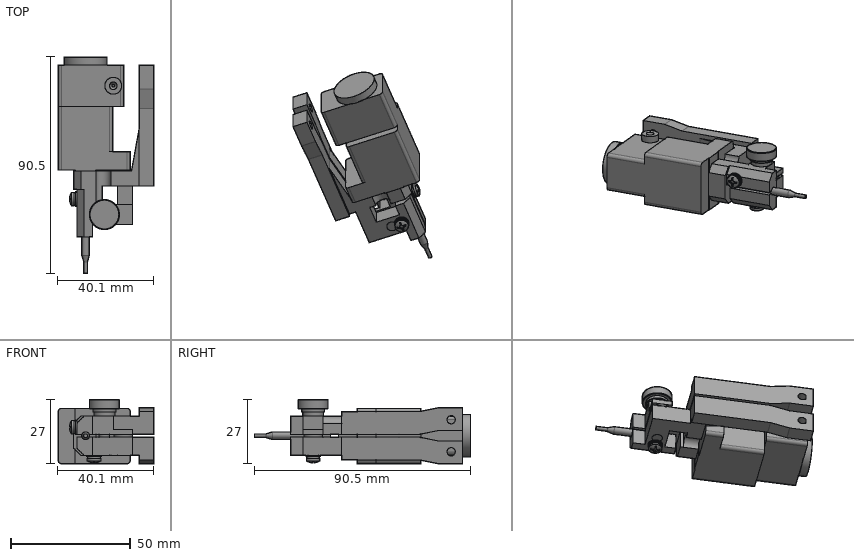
import cadquery as cq

HOUSING_LEFT = -11.5
HOUSING_FRONT = 43.2
HOUSING_BOTTOM = -11.8
HOUSING_TOP = 11.5
HOUSING_FILLET = 1.45
FOOT_RIGHT = 18.7
FOOT_REAR = 50.9
BODY_RIGHT = 11.4
BODY_REAR = 69.7
REAR_RIGHT = 16.0
REAR_END = 87.2
REAR_HALF_HEIGHT = 8.2
PLUG_DIAMETER = 17.9
PLUG_END = 90.55

SPLIT_GAP = 1.1
CLAMP_REAR = 42.9
CLAMP_HALF_HEIGHT = 8.2
CLAMP_CHAMFER = 3.0
BLOCK_LEFT = -5.0
BLOCK_RIGHT = 4.35
BLOCK_FRONT = 35.1
JAW_LEFT = -3.6
JAW_RIGHT = 3.0
JAW_FRONT = 15.2
LOWER_JAW_REAR = 33.5
CROSSBAR_FRONT = 36.5
TROUGH_X = 7.4
TROUGH_RADIUS = 3.2
UPPER_WEB_RIGHT = 7.1
TAB_FRONT = 20.4
TAB_REAR = 28.8
TAB_RIGHT = 19.65
TAB_LEDGE_X = 11.8
TAB_LEDGE_TOP = 2.7
LINK_LEFT = 13.3
SPACER_DIAMETER = 7.7

ARM_LEFT = 22.4
ARM_RIGHT = 28.6
ARM_REAR_HALF_HEIGHT = 11.8
ARM_FRONT_HALF_HEIGHT = 10.1
ARM_TAPER_REAR = 77.1
ARM_TAPER_FRONT = 68.9
GUSSET_LEFT = 19.2
GUSSET_REAR = 60.5
ARM_HOLE_DIAMETER = 3.4
ARM_HOLE_Y = 82.4
ARM_HOLE_OFFSET = 6.7

PIN_DIAMETER = 3.3
PIN_TIP_DIAMETER = 1.6
PIN_CONE_FRONT = 4.8
PIN_CONE_REAR = 7.5
PIN_REAR = 31.9

KNOB_X = 7.9
KNOB_DIAMETER = 12.6
KNOB_TOP = 15.2
KNOB_BOTTOM = 11.2
KNOB_EDGE = 0.3
COLLAR_DIAMETER = 9.7
COLLAR_BOTTOM = 10.0
STEM_DIAMETER = 8.8
SHAFT_DIAMETER = 4.35

FLANGE_DIAMETER = 6.2
FLANGE_TOP = 0.5
NECK_DIAMETER = 5.3
NECK_TOP = 1.3
HEAD_DIAMETER = 5.7
HEAD_EDGE = 2.3
HEAD_TOP = 3.2
CROSS_LENGTH = 3.8
CROSS_WIDTH = 0.5
CROSS_CENTRE_SIDE = 1.6
CROSS_DEPTH = 0.9
SIDE_SCREW_Y = 31.1
SIDE_SCREW_Z = 3.5
LOWER_SCREW_X = 3.5

SOCKET_HEAD_X = 11.6
SOCKET_HEAD_Y = 78.5
SOCKET_HEAD_DIAMETER = 7.1
SOCKET_HEAD_HEIGHT = 2.8
SOCKET_DIAMETER = 3.2
SOCKET_FLOOR_DIAMETER = 1.1
SOCKET_DEPTH = 2.3

HALF_GAP = SPLIT_GAP / 2
TAB_MIDDLE = (TAB_FRONT + TAB_REAR) / 2


def box(x_range, y_range, z_range):
    """Box between the given limits along each axis."""
    (x0, x1), (y0, y1), (z0, z1) = x_range, y_range, z_range
    return cq.Workplane("XY").box(x1 - x0, y1 - y0, z1 - z0, centered=False).translate((x0, y0, z0))


def cylinder_y(x, z, diameter, y_start, y_end):
    """Cylinder along Y."""
    return (
        cq.Workplane("XZ", origin=(x, y_start, z)).circle(diameter / 2).extrude(y_start - y_end)
    )


def cylinder_z(x, y, diameter, z_start, z_end):
    """Cylinder along Z."""
    return cq.Workplane("XY", origin=(x, y, z_start)).circle(diameter / 2).extrude(z_end - z_start)


def make_housing():
    """Stepped housing with rounded long edges, a round rear plug and a pad on its front face."""
    height = (HOUSING_BOTTOM, HOUSING_TOP)
    foot = box((HOUSING_LEFT, FOOT_RIGHT), (HOUSING_FRONT, FOOT_REAR), height)
    body = box((HOUSING_LEFT, BODY_RIGHT), (HOUSING_FRONT, BODY_REAR), height)
    rear = box(
        (HOUSING_LEFT, REAR_RIGHT),
        (BODY_REAR, REAR_END),
        (-REAR_HALF_HEIGHT, REAR_HALF_HEIGHT),
    )
    rear = rear.edges("|Y").fillet(HOUSING_FILLET)
    front = foot.union(body).edges("|Y").edges("<Z or >Z").fillet(HOUSING_FILLET)
    pad = box((-BLOCK_RIGHT, BLOCK_RIGHT), (CLAMP_REAR, HOUSING_FRONT), height)
    plug = cylinder_y(0, 0, PLUG_DIAMETER, REAR_END, PLUG_END)
    return front.union(rear).union(pad).union(plug)


def make_arm_bar():
    """Upper arm: a bar that steps up and away from the split towards its rear, with a cross hole."""
    step = ARM_REAR_HALF_HEIGHT - ARM_FRONT_HALF_HEIGHT
    side_outline = [
        (CROSSBAR_FRONT, HALF_GAP),
        (ARM_TAPER_FRONT, HALF_GAP),
        (ARM_TAPER_REAR, HALF_GAP + step),
        (REAR_END, HALF_GAP + step),
        (REAR_END, ARM_REAR_HALF_HEIGHT),
        (ARM_TAPER_REAR, ARM_REAR_HALF_HEIGHT),
        (ARM_TAPER_FRONT, ARM_FRONT_HALF_HEIGHT),
        (CROSSBAR_FRONT, ARM_FRONT_HALF_HEIGHT),
    ]
    side_plane = cq.Workplane("YZ", origin=(ARM_LEFT, 0, 0))
    width = ARM_RIGHT - ARM_LEFT
    bar = side_plane.polyline(side_outline).close().extrude(width)
    hole = side_plane.center(ARM_HOLE_Y, ARM_HOLE_OFFSET).circle(ARM_HOLE_DIAMETER / 2).extrude(width)
    return bar.cut(hole)


def make_arms():
    """Two mirrored arms on a split crossbar that carries their gussets."""
    upper_bar = make_arm_bar()
    lower_bar = upper_bar.mirror("XY")
    base_outline = [
        (BLOCK_RIGHT, CROSSBAR_FRONT),
        (ARM_LEFT, CROSSBAR_FRONT),
        (ARM_LEFT, GUSSET_REAR),
        (GUSSET_LEFT, CLAMP_REAR),
        (BLOCK_RIGHT, CLAMP_REAR),
    ]
    base = (
        cq.Workplane("XY", origin=(0, 0, -CLAMP_HALF_HEIGHT))
        .polyline(base_outline)
        .close()
        .extrude(2 * CLAMP_HALF_HEIGHT)
    )
    split = box((BLOCK_RIGHT, ARM_LEFT), (CROSSBAR_FRONT, GUSSET_REAR), (-HALF_GAP, HALF_GAP))
    return base.cut(split).union(upper_bar).union(lower_bar)


def make_jaws():
    """Upper and lower jaw, each with a cross tab, joined by a round spacer between the tabs."""
    upper_z = (HALF_GAP, CLAMP_HALF_HEIGHT)
    lower_z = (-CLAMP_HALF_HEIGHT, -HALF_GAP)
    tab_y = (TAB_FRONT, TAB_REAR)

    upper = box((JAW_LEFT, JAW_RIGHT), (JAW_FRONT, BLOCK_FRONT), upper_z)
    upper = upper.edges("|Y and <X and >Z").chamfer(CLAMP_CHAMFER)
    upper = upper.union(box((JAW_RIGHT, TAB_LEDGE_X), tab_y, upper_z))
    upper = upper.union(box((TAB_LEDGE_X, TAB_RIGHT), tab_y, (HALF_GAP, TAB_LEDGE_TOP)))
    upper = upper.union(box((JAW_RIGHT, UPPER_WEB_RIGHT), (TAB_REAR, CROSSBAR_FRONT), upper_z))

    lower = box((JAW_LEFT, JAW_RIGHT), (JAW_FRONT, LOWER_JAW_REAR), lower_z)
    lower = lower.edges("|Y and <X and <Z").chamfer(CLAMP_CHAMFER)
    lower = lower.union(box((JAW_RIGHT, TAB_RIGHT), tab_y, lower_z))
    lower = lower.union(box((LINK_LEFT, TAB_RIGHT), (TAB_REAR, CROSSBAR_FRONT), lower_z))

    spacer_x = TAB_RIGHT - SPACER_DIAMETER / 2
    spacer = cylinder_z(spacer_x, TAB_MIDDLE, SPACER_DIAMETER, -HALF_GAP, HALF_GAP)
    return upper.union(lower).union(spacer)


def make_clamp():
    """Split clamp: corner block, arms, jaws, thinning troughs and bores for the pin and knob."""
    block = box(
        (BLOCK_LEFT, BLOCK_RIGHT),
        (BLOCK_FRONT, CLAMP_REAR),
        (-CLAMP_HALF_HEIGHT, CLAMP_HALF_HEIGHT),
    )
    block = block.edges("|Y and <X").chamfer(CLAMP_CHAMFER)
    clamp = block.union(make_arms()).union(make_jaws())

    trough_diameter = 2 * TROUGH_RADIUS
    upper_trough = cylinder_y(TROUGH_X, CLAMP_HALF_HEIGHT, trough_diameter, TAB_REAR, CLAMP_REAR)
    lower_trough = cylinder_y(
        TROUGH_X, -CLAMP_HALF_HEIGHT, trough_diameter, CROSSBAR_FRONT, CLAMP_REAR
    )
    pin_bore = cylinder_y(0, 0, PIN_DIAMETER, JAW_FRONT, PIN_REAR)
    shaft_bore = cylinder_z(
        KNOB_X, TAB_MIDDLE, SHAFT_DIAMETER, -CLAMP_HALF_HEIGHT, CLAMP_HALF_HEIGHT
    )
    return clamp.cut(upper_trough).cut(lower_trough).cut(pin_bore).cut(shaft_bore)


def make_pin():
    """Contact pin turned about Y, with a cone down to a slender tip."""
    outline = [
        (0, 0),
        (PIN_TIP_DIAMETER / 2, 0),
        (PIN_TIP_DIAMETER / 2, PIN_CONE_FRONT),
        (PIN_DIAMETER / 2, PIN_CONE_REAR),
        (PIN_DIAMETER / 2, PIN_REAR),
        (0, PIN_REAR),
    ]
    return cq.Workplane("XY").polyline(outline).close().revolve(360, (0, 0), (0, 1))


def make_knob():
    """Clamping knob with collar, stem and a shaft through both tabs."""
    grip = cylinder_z(KNOB_X, TAB_MIDDLE, KNOB_DIAMETER, KNOB_BOTTOM, KNOB_TOP)
    grip = grip.edges().chamfer(KNOB_EDGE)
    collar = cylinder_z(KNOB_X, TAB_MIDDLE, COLLAR_DIAMETER, COLLAR_BOTTOM, KNOB_BOTTOM)
    stem = cylinder_z(KNOB_X, TAB_MIDDLE, STEM_DIAMETER, CLAMP_HALF_HEIGHT, COLLAR_BOTTOM)
    shaft = cylinder_z(
        KNOB_X, TAB_MIDDLE, SHAFT_DIAMETER, -CLAMP_HALF_HEIGHT, CLAMP_HALF_HEIGHT
    )
    return grip.union(collar).union(stem).union(shaft)


def make_cross_screw(seat):
    """Domed screw head with flange, neck and cross recess, standing on the given seat plane."""
    flange = cq.Workplane(seat).circle(FLANGE_DIAMETER / 2).extrude(FLANGE_TOP)
    neck = cq.Workplane(seat).circle(NECK_DIAMETER / 2).extrude(NECK_TOP)
    rim = cq.Workplane(seat).workplane(offset=NECK_TOP)
    rim = rim.circle(HEAD_DIAMETER / 2).extrude(HEAD_TOP - NECK_TOP)

    rim_radius = HEAD_DIAMETER / 2
    rise = HEAD_TOP - HEAD_EDGE
    dome_radius = (rim_radius**2 + rise**2) / (2 * rise)
    dome = cq.Workplane(seat).workplane(offset=HEAD_TOP - dome_radius).sphere(dome_radius)
    head = rim.intersect(dome)

    recess_floor = cq.Workplane(seat).workplane(offset=HEAD_TOP - CROSS_DEPTH)
    slot = recess_floor.rect(CROSS_LENGTH, CROSS_WIDTH).extrude(CROSS_DEPTH)
    cross_slot = recess_floor.rect(CROSS_WIDTH, CROSS_LENGTH).extrude(CROSS_DEPTH)
    centre = recess_floor.transformed(rotate=(0, 0, 45))
    centre = centre.rect(CROSS_CENTRE_SIDE, CROSS_CENTRE_SIDE).extrude(CROSS_DEPTH)
    return flange.union(neck).union(head).cut(slot).cut(cross_slot).cut(centre)


def make_socket_screw():
    """Flat cylinder head with a tapered round socket, on the rear step of the housing."""
    top = REAR_HALF_HEIGHT + SOCKET_HEAD_HEIGHT
    head = cylinder_z(SOCKET_HEAD_X, SOCKET_HEAD_Y, SOCKET_HEAD_DIAMETER, REAR_HALF_HEIGHT, top)
    socket = (
        cq.Workplane("XY", origin=(SOCKET_HEAD_X, SOCKET_HEAD_Y, top))
        .circle(SOCKET_DIAMETER / 2)
        .workplane(offset=-SOCKET_DEPTH)
        .circle(SOCKET_FLOOR_DIAMETER / 2)
        .loft(ruled=True)
    )
    return head.cut(socket)


housing = make_housing()
clamp = make_clamp()
contact_pin = make_pin()
knob = make_knob()
socket_screw = make_socket_screw()

cross_screw_seats = [
    cq.Plane(origin=(JAW_LEFT, SIDE_SCREW_Y, SIDE_SCREW_Z), xDir=(0, 1, 0), normal=(-1, 0, 0)),
    cq.Plane(
        origin=(LOWER_SCREW_X, TAB_MIDDLE, -CLAMP_HALF_HEIGHT), xDir=(1, 0, 0), normal=(0, 0, -1)
    ),
]
cross_screws = [make_cross_screw(seat).val() for seat in cross_screw_seats]

result = cq.Compound.makeCompound(
    [
        housing.val(),
        clamp.val(),
        contact_pin.val(),
        knob.val(),
        *cross_screws,
        socket_screw.val(),
    ]
)